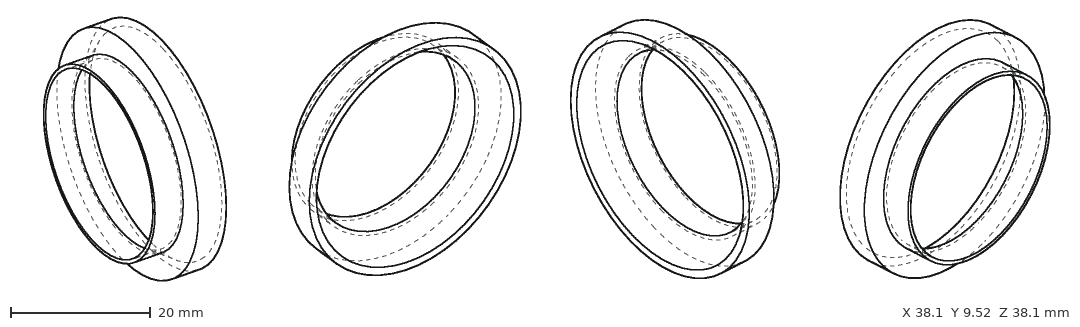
import cadquery as cq

flange_diameter = 38.1
sleeve_diameter = 30.0
bore_diameter = 28.8
flare_diameter = 35.5
total_length = 9.52
flange_thickness = total_length / 2
sleeve_length = total_length - flange_thickness

half_section = [
    (bore_diameter / 2, 0),
    (sleeve_diameter / 2, 0),
    (sleeve_diameter / 2, sleeve_length),
    (flange_diameter / 2, sleeve_length),
    (flange_diameter / 2, total_length),
    (flare_diameter / 2, total_length),
    (bore_diameter / 2, sleeve_length),
]

result = (
    cq.Workplane("XY")
    .polyline(half_section)
    .close()
    .revolve(360, (0, 0, 0), (0, 1, 0))
)